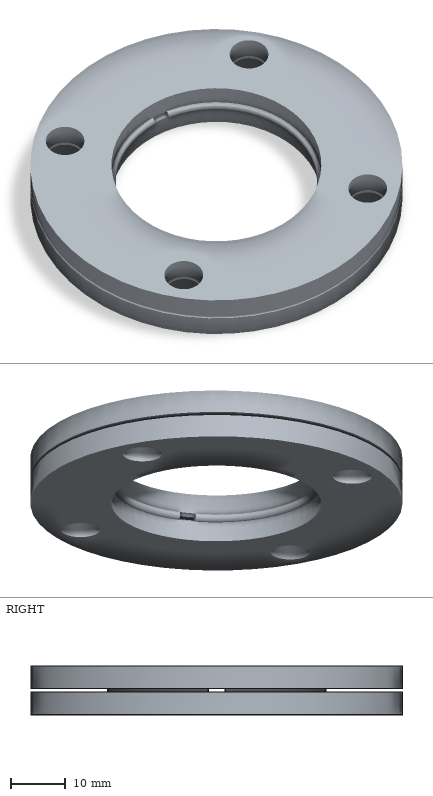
import cadquery as cq
import math

outer_diameter = 68.0
bore_diameter = 38.35
total_height = 9.0
plate_gap = 0.6
plate_thickness = (total_height - plate_gap) / 2

hole_diameter = 7.1
hole_count = 4
bolt_circle_radius = 28.3
first_hole_angle = 45.0

wire_diameter = 1.55
split_width = 3.0


def plate(bottom):
    """One flat annular flange with its bolt holes."""
    return (
        cq.Workplane("XY", origin=(0, 0, bottom))
        .circle(outer_diameter / 2)
        .circle(bore_diameter / 2)
        .polarArray(bolt_circle_radius, first_hole_angle, 360, hole_count)
        .circle(hole_diameter / 2)
        .extrude(plate_thickness)
    )


def wire_sweep(angle):
    """Round wire swept about Z through the given angle, following the bore wall."""
    return (
        cq.Workplane("XZ")
        .center(bore_diameter / 2, 0)
        .circle(wire_diameter / 2)
        .revolve(angle, (-bore_diameter / 2, 0), (-bore_diameter / 2, -1))
    )


def half_ring(middle_angle):
    """One half of the split ring, centred on the given angle about Z."""
    inner_radius = (bore_diameter - wire_diameter) / 2
    half_split = math.degrees(math.asin(split_width / 2 / inner_radius))
    sweep = 180 - 2 * half_split
    return wire_sweep(sweep).rotate((0, 0, 0), (0, 0, 1), middle_angle + sweep / 2)


lower_plate = plate(-total_height / 2)
upper_plate = plate(plate_gap / 2)

seat = wire_sweep(360)
grooved_plates = lower_plate.union(upper_plate).cut(seat)
result = grooved_plates.union(half_ring(90)).union(half_ring(270))